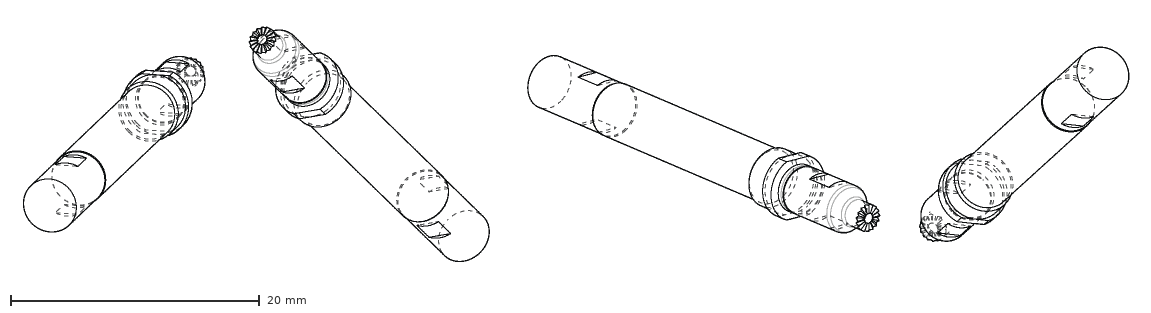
import cadquery as cq
import math

overall_length = 42.2
full_turn = 360.0
tip_y = overall_length / 2
tail_y = -overall_length / 2

neck_diameter = 2.25
plunger_diameter = 4.0
sleeve_diameter = plunger_diameter
collar_diameter = 5.5
shoulder_diameter = 5.0
shaft_diameter = 4.5
tail_diameter = 4.45

crown_rim = 0.42
cone_start = 2.28
sleeve_start = 9.07
collar_start = 9.7
collar_end = 10.8
shoulder_end = 13.15
tail_start = 33.65

cone_blend_radius = 0.45
mouth_groove_depth = 0.065
mouth_groove_length = 0.25
shoulder_chamfer = (shoulder_diameter - shaft_diameter) / 2
tail_step_length = 0.13

tooth_count = 16
tooth_depth = 0.25
point_radius = 0.42

flat_length = 2.55
plunger_flat_start = 4.4
plunger_across_flats = 3.5
tail_flat_start = 34.7
tail_across_flats = 4.0


def revolve_profile(points):
    """Revolve (radius, Y) points, closed along the axis, around the Y axis."""
    return cq.Workplane("XY").polyline(points).close().revolve(full_turn, (0, 0, 0), (0, 1, 0))


def make_plunger():
    """Neck, 45 degree cone and plunger barrel, with both ends of the cone blended."""
    neck_radius = neck_diameter / 2
    plunger_radius = plunger_diameter / 2
    cone_end = cone_start + plunger_radius - neck_radius
    plunger = revolve_profile([
        (0, tip_y - crown_rim),
        (neck_radius, tip_y - crown_rim),
        (neck_radius, tip_y - cone_start),
        (plunger_radius, tip_y - cone_end),
        (plunger_radius, tip_y - sleeve_start),
        (0, tip_y - sleeve_start),
    ])
    cone_edges = cq.selectors.BoxSelector(
        (-plunger_diameter, tip_y - cone_end - cone_blend_radius, -plunger_diameter),
        (plunger_diameter, tip_y - cone_start + cone_blend_radius, plunger_diameter),
    )
    return plunger.edges("%CIRCLE").edges(cone_edges).fillet(cone_blend_radius)


def make_barrel():
    """Sleeve, collar, shoulder, shaft and tail."""
    return revolve_profile([
        (0, tip_y - sleeve_start),
        (sleeve_diameter / 2 - mouth_groove_depth, tip_y - sleeve_start),
        (sleeve_diameter / 2, tip_y - sleeve_start - mouth_groove_length),
        (sleeve_diameter / 2, tip_y - collar_start),
        (collar_diameter / 2, tip_y - collar_start),
        (collar_diameter / 2, tip_y - collar_end),
        (shoulder_diameter / 2, tip_y - collar_end),
        (shoulder_diameter / 2, tip_y - shoulder_end + shoulder_chamfer),
        (shaft_diameter / 2, tip_y - shoulder_end),
        (shaft_diameter / 2, tip_y - tail_start),
        (tail_diameter / 2, tip_y - tail_start - tail_step_length),
        (tail_diameter / 2, tail_y),
        (0, tail_y),
    ])


def make_tooth_groove(angle):
    """V groove that deepens from the axis outward, aimed at the given angle around Y."""
    reach = neck_diameter
    half_width = reach * math.tan(math.pi / tooth_count)
    drop = tooth_depth * reach / (neck_diameter / 2)
    rim_y = tip_y - crown_rim
    apex = cq.Vector(0, rim_y, 0)
    left = cq.Vector(-half_width, rim_y, reach)
    right = cq.Vector(half_width, rim_y, reach)
    bottom = cq.Vector(0, rim_y - drop, reach)
    triangles = [
        (apex, left, right),
        (apex, left, bottom),
        (apex, right, bottom),
        (left, right, bottom),
    ]
    faces = [cq.Face.makeFromWires(cq.Wire.makePolygon(corners, close=True)) for corners in triangles]
    groove = cq.Solid.makeSolid(cq.Shell.makeShell(faces))
    return cq.Workplane(groove).rotate((0, 0, 0), (0, 1, 0), angle)


def make_centre_point():
    """Pointed cone standing on a short root inside the ring of teeth."""
    return revolve_profile([
        (0, tip_y),
        (point_radius, tip_y - crown_rim),
        (point_radius, tip_y - cone_start),
        (0, tip_y - cone_start),
    ])


def cut_flat_pair(body, start, length, across_flats):
    """Remove material above and below the two flats, facing +Z and -Z."""
    depth = collar_diameter
    for side in (1, -1):
        centre = (0, tip_y - start - length / 2, side * (across_flats + depth) / 2)
        cutter = cq.Workplane("XY").box(collar_diameter, length, depth).translate(centre)
        body = body.cut(cutter)
    return body


plunger = make_plunger()
for i in range(tooth_count):
    plunger = plunger.cut(make_tooth_groove((i + 0.5) * full_turn / tooth_count))

result = make_barrel().union(plunger).union(make_centre_point())
result = cut_flat_pair(result, plunger_flat_start, flat_length, plunger_across_flats)
result = cut_flat_pair(result, collar_start, collar_end - collar_start, shoulder_diameter)
result = cut_flat_pair(result, tail_flat_start, flat_length, tail_across_flats)